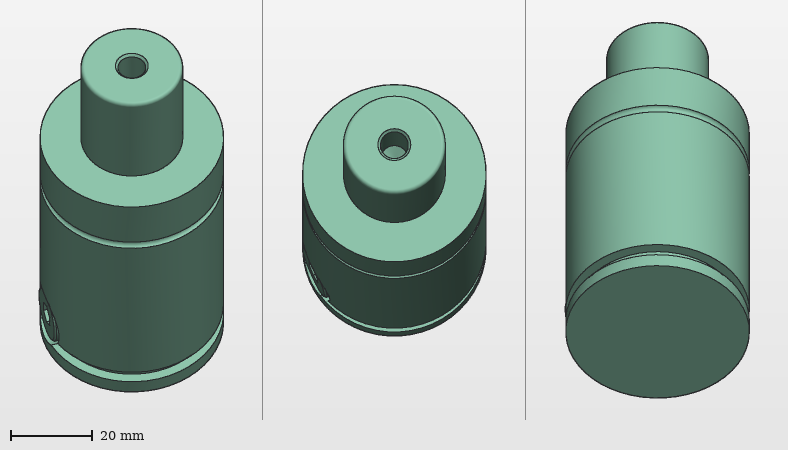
import cadquery as cq
import math

total_height = 97.0
body_radius = 45.0 / 2
body_top = 70.0

rod_radius = 25.0 / 2
rod_edge_radius = 1.0
bore_diameter = 6.8
bore_mouth_diameter = 8.05
bore_depth = 13.6
bore_tip_angle = 118.0

base_groove_bottom = 3.9
base_groove_top = 7.5
base_groove_radius = 20.1

round_groove_center = 55.6
round_groove_half_width = 1.2
round_groove_depth = 1.0

plug_height = 10.5
pocket_diameter = 16.0
pocket_depth = 4.85
plug_diameter = 14.0
plug_sink = 0.7
plug_chamfer = 0.5
hex_across_flats = 5.1
hex_depth = 3.9


def make_cylinder():
    """Revolve the body, both grooves and the round-edged rod about Z."""
    profile = (
        cq.Workplane("XZ")
        .lineTo(body_radius, 0)
        .lineTo(body_radius, base_groove_bottom)
        .lineTo(base_groove_radius, base_groove_bottom)
        .lineTo(base_groove_radius, base_groove_top)
        .lineTo(body_radius, base_groove_top)
        .lineTo(body_radius, round_groove_center - round_groove_half_width)
        .threePointArc(
            (body_radius - round_groove_depth, round_groove_center),
            (body_radius, round_groove_center + round_groove_half_width),
        )
        .lineTo(body_radius, body_top)
        .lineTo(rod_radius, body_top)
        .lineTo(rod_radius, total_height - rod_edge_radius)
        .tangentArcPoint((-rod_edge_radius, rod_edge_radius))
        .lineTo(0, total_height)
        .close()
    )
    return profile.revolve(360, (0, 0, 0), (0, 1, 0))


def make_bore():
    """Drilled hole with a 45 degree mouth and a conical tip."""
    bore_radius = bore_diameter / 2
    mouth_radius = bore_mouth_diameter / 2
    mouth_depth = mouth_radius - bore_radius
    tip_length = bore_radius / math.tan(math.radians(bore_tip_angle / 2))
    shoulder = total_height - bore_depth
    profile = (
        cq.Workplane("XZ")
        .moveTo(0, total_height)
        .lineTo(mouth_radius, total_height)
        .lineTo(bore_radius, total_height - mouth_depth)
        .lineTo(bore_radius, shoulder)
        .lineTo(0, shoulder - tip_length)
        .close()
    )
    return profile.revolve(360, (0, 0, 0), (0, 1, 0))


def side_plane(depth):
    """Plane facing -Y at the plug center, sunk below the body surface."""
    return cq.Workplane("XZ", origin=(0, depth - body_radius, plug_height))


def make_plug():
    """Chamfered plug with a hexagonal socket, standing on the pocket floor."""
    hex_corner_diameter = hex_across_flats / math.cos(math.pi / 6)
    plug = (
        side_plane(pocket_depth)
        .circle(plug_diameter / 2)
        .extrude(pocket_depth - plug_sink)
        .faces("<Y")
        .chamfer(plug_chamfer)
    )
    socket = (
        side_plane(plug_sink)
        .transformed(rotate=(0, 0, 90))
        .polygon(6, hex_corner_diameter)
        .extrude(-hex_depth)
    )
    return plug.cut(socket)


pocket = side_plane(pocket_depth).circle(pocket_diameter / 2).extrude(pocket_depth)

result = make_cylinder().cut(make_bore()).cut(pocket).union(make_plug())